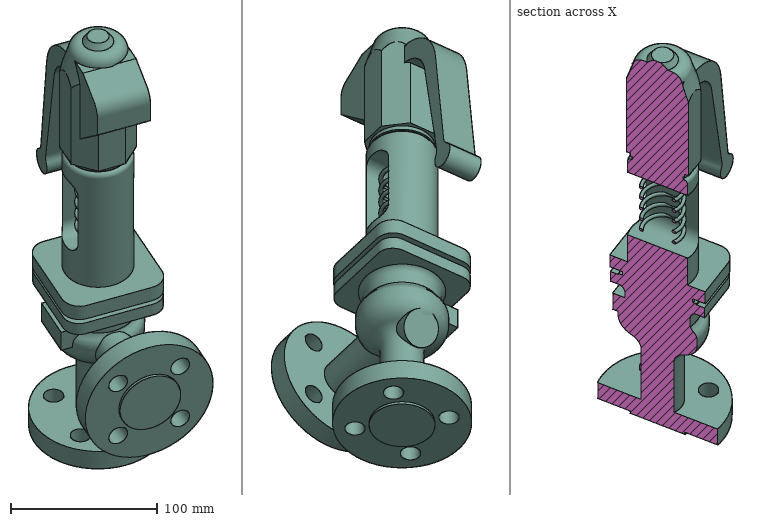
import cadquery as cq
import math


flange_radius = 47.5
flange_thickness = 15.5
raised_face_radius = 22.5
raised_face_height = 2.0
bolt_circle_radius = 32.5
bolt_hole_radius = 7.0
bolt_count = 4
outlet_height = 90.2
outlet_reach = 90.2
inlet_pipe_radius = 15.0
outlet_pipe_radius = 14.2

bowl_radius = 32.0
bowl_belt_bottom = 90.0
bowl_belt_top = 95.0
bowl_round_radius = 15.0
flare_bottom = 66.0
flare_radius = 10.5
shoulder_bottom = 101.3
shoulder_top = 105.5
neck_radius = 26.7
neck_top = 113.8
neck_flare_radius = 30.0

lower_plate_bottom = 119.0
lower_plate_top = 128.7
lower_plate_width = 73.5
lower_plate_corner = 11.8
upper_plate_bottom = 132.5
upper_plate_top = 144.5
upper_plate_width = 74.5
upper_plate_corner = 13.2
joint_rim_radius = 31.2
joint_rim_top = 129.8
joint_radius = 28.5

sign_left = -16.3
sign_right = 17.7
sign_bottom = 93.0
sign_top = 109.0
sign_face = -35.0

drain_radius = 13.5
drain_tilt = 30
drain_face_x = -23.0
drain_face_z = 71.0
drain_length = 20.8

housing_radius = 24.5
housing_top = 244.0
housing_round = 3.5
window_width = 27.0
window_bottom = 169.7
window_top = 230.0
window_corner = 9.5
coil_radius = 14.5
wire_radius = 1.5
first_coil_height = 179.7
coil_pitch = 10.0
coil_count = 5

groove_radius = housing_radius - housing_round
groove_top = 245.7
collar_radius = 22.5

cap_bottom = 248.8
cap_sides = 8
cap_across_flats = 48.5
cone_bottom = 316.0
cone_top = 335.5
cone_top_radius = 20.5
dome_top = 342.5
dome_mid_radius = 18.0
dome_mid_height = 340.5
button_base_radius = 10.8
button_radius = 7.5
overall_height = 347.0

bracket_width = 39.5
bracket_slope_start = 19.8
bracket_slope_angle = 29
bracket_reach = 44.8
bracket_corner = 12.0
bracket_nose_bottom = 299.5
bracket_heel_x = 15.0
bracket_heel_z = 273.5

lever_width = 26.0
lever_root_x = -17.5
lever_root_top = 318.2
lever_root_bottom = 303.3
lever_knob_x = -67.0
lever_knob_z = 189.0
lever_knob_radius = 9.0
lever_knob_blend = 8.5
lever_outer_bend = (-47.0, 307.0)
lever_outer_bend_end = (-58.5, 283.5)
lever_outer_end_x = -70.0
lever_inner_bend = (-37.0, 296.0)
lever_inner_bend_end = (-45.0, 283.5)
lever_inner_end_x = -61.8


def disc(radius, bottom, top):
    """Solid cylinder on the Z axis between two heights."""
    return cq.Workplane("XY").workplane(offset=bottom).circle(radius).extrude(top - bottom)


def square_plate(width, corner, bottom, top):
    """Square plate with rounded corners between two heights."""
    plate = cq.Workplane("XY").workplane(offset=bottom).rect(width, width).extrude(top - bottom)
    return plate.edges("|Z").fillet(corner)


def flanged_pipe(pipe_radius, length):
    """Pipe along Z from a bolted flange with its raised face at zero height."""
    flange_top = raised_face_height + flange_thickness
    flange = disc(flange_radius, raised_face_height, flange_top)
    holes = (
        cq.Workplane("XY")
        .polarArray(bolt_circle_radius, 180 / bolt_count, 360, bolt_count)
        .circle(bolt_hole_radius)
        .extrude(flange_top)
    )
    raised_face = disc(raised_face_radius, 0, flange_top)
    return flange.cut(holes).union(raised_face).union(disc(pipe_radius, 0, length))


def valve_body():
    """Turned bowl flaring down to the inlet pipe and narrowing up to the neck."""
    round_center_x = bowl_radius - bowl_round_radius
    flare_center_x = inlet_pipe_radius + flare_radius
    rise = bowl_belt_bottom - flare_bottom
    meeting_angle = math.atan2(rise, round_center_x - flare_center_x)
    flare_mid_angle = (math.pi + meeting_angle) / 2
    round_mid_angle = (meeting_angle - math.pi) / 2

    def flare_point(angle):
        return (flare_center_x + flare_radius * math.cos(angle), flare_bottom + flare_radius * math.sin(angle))

    round_mid = (
        round_center_x + bowl_round_radius * math.cos(round_mid_angle),
        bowl_belt_bottom + bowl_round_radius * math.sin(round_mid_angle),
    )
    shoulder_mid = ((bowl_radius + neck_radius) / 2, shoulder_bottom)
    profile = (
        cq.Workplane("XZ")
        .moveTo(0, flare_bottom)
        .lineTo(inlet_pipe_radius, flare_bottom)
        .threePointArc(flare_point(flare_mid_angle), flare_point(meeting_angle))
        .threePointArc(round_mid, (bowl_radius, bowl_belt_bottom))
        .lineTo(bowl_radius, bowl_belt_top)
        .tangentArcPoint(shoulder_mid, relative=False)
        .tangentArcPoint((neck_radius, shoulder_top), relative=False)
        .lineTo(neck_radius, neck_top)
        .tangentArcPoint((neck_flare_radius, lower_plate_bottom), relative=False)
        .lineTo(0, lower_plate_bottom)
        .close()
    )
    return profile.revolve(360, (0, 0, 0), (0, 1, 0))


def sign_block():
    """Flat sign block reaching from inside the body out to -Y."""
    width = sign_right - sign_left
    height = sign_top - sign_bottom
    block = cq.Workplane("XY").box(width, -sign_face, height, centered=False)
    return block.translate((sign_left, sign_face, sign_bottom))


def drain_boss():
    """Round boss rising into the body from its tilted face."""
    tilt = math.radians(drain_tilt)
    axis = cq.Vector(math.cos(tilt), 0, math.sin(tilt))
    face_center = cq.Vector(drain_face_x, 0, drain_face_z)
    return cq.Workplane(cq.Solid.makeCylinder(drain_radius, drain_length, face_center, axis))


def bonnet():
    """Two square plates with a round joint between them."""
    lower = square_plate(lower_plate_width, lower_plate_corner, lower_plate_bottom, lower_plate_top)
    upper = square_plate(upper_plate_width, upper_plate_corner, upper_plate_bottom, upper_plate_top)
    rim = disc(joint_rim_radius, lower_plate_bottom, joint_rim_top)
    joint = disc(joint_radius, lower_plate_bottom, upper_plate_top)
    return lower.union(rim).union(joint).union(upper)


def spring_housing():
    """Housing with a window through it along Y, crossed by the spring coils."""
    housing = (
        cq.Workplane("XZ")
        .moveTo(0, upper_plate_bottom)
        .lineTo(housing_radius, upper_plate_bottom)
        .lineTo(housing_radius, housing_top - housing_round)
        .tangentArcPoint((groove_radius, housing_top), relative=False)
        .lineTo(groove_radius, groove_top)
        .lineTo(collar_radius, groove_top)
        .lineTo(collar_radius, cap_bottom)
        .lineTo(0, cap_bottom)
        .close()
        .revolve(360, (0, 0, 0), (0, 1, 0))
    )
    window = (
        cq.Workplane("XZ")
        .center(0, (window_bottom + window_top) / 2)
        .rect(window_width, window_top - window_bottom)
        .extrude(housing_radius, both=True)
        .edges("|Y")
        .fillet(window_corner)
    )
    housing = housing.cut(window)
    for index in range(coil_count):
        height = first_coil_height + index * coil_pitch
        coil = cq.Solid.makeTorus(coil_radius, wire_radius, cq.Vector(0, 0, height), cq.Vector(0, 0, 1))
        housing = housing.union(cq.Workplane(coil))
    return housing


def cap():
    """Octagonal cap trimmed by a cone and closed by a dome with a button."""
    corner_radius = cap_across_flats / 2 / math.cos(math.pi / cap_sides)
    octagon = (
        cq.Workplane("XY")
        .workplane(offset=cap_bottom)
        .transformed(rotate=(0, 0, 180 / cap_sides))
        .polygon(cap_sides, 2 * corner_radius)
        .extrude(overall_height - cap_bottom)
    )
    envelope = (
        cq.Workplane("XZ")
        .moveTo(0, cap_bottom)
        .lineTo(corner_radius, cap_bottom)
        .lineTo(corner_radius, cone_bottom)
        .lineTo(cone_top_radius, cone_top)
        .threePointArc((dome_mid_radius, dome_mid_height), (button_base_radius, dome_top))
        .lineTo(button_radius, overall_height)
        .lineTo(0, overall_height)
        .close()
        .revolve(360, (0, 0, 0), (0, 1, 0))
    )
    return octagon.intersect(envelope)


def bracket():
    """Lever bracket with a sloping top and a rounded nose."""
    slope_drop = (bracket_reach - bracket_slope_start) * math.tan(math.radians(bracket_slope_angle))
    nose_top = cone_top - slope_drop
    plate = (
        cq.Workplane("XZ")
        .moveTo(0, cone_top)
        .lineTo(bracket_slope_start, cone_top)
        .lineTo(bracket_reach, nose_top)
        .lineTo(bracket_reach, bracket_nose_bottom)
        .lineTo(bracket_heel_x, bracket_heel_z)
        .lineTo(0, bracket_heel_z)
        .close()
        .extrude(bracket_width / 2, both=True)
    )
    nose_edge = cq.selectors.NearestToPointSelector((bracket_reach, 0, nose_top))
    return plate.edges(nose_edge).fillet(bracket_corner)


def lever():
    """Curved tapering lever ending in a round knob."""
    arm = (
        cq.Workplane("XZ")
        .moveTo(lever_root_x, lever_root_top)
        .threePointArc(lever_outer_bend, lever_outer_bend_end)
        .lineTo(lever_outer_end_x, lever_knob_z)
        .lineTo(lever_inner_end_x, lever_knob_z)
        .lineTo(*lever_inner_bend_end)
        .threePointArc(lever_inner_bend, (lever_root_x, lever_root_bottom))
        .close()
        .extrude(lever_width / 2, both=True)
    )
    knob = (
        cq.Workplane("XZ")
        .center(lever_knob_x, lever_knob_z)
        .circle(lever_knob_radius)
        .extrude(lever_width / 2, both=True)
    )
    handle = arm.union(knob)
    knob_corners = cq.selectors.BoxSelector(
        (lever_knob_x - lever_knob_radius, -lever_width, lever_knob_z + lever_knob_radius / 2),
        (lever_knob_x + lever_knob_radius, lever_width, lever_knob_z + lever_knob_radius),
        boundingbox=False,
    )
    return handle.edges("|Y").edges(knob_corners).fillet(lever_knob_blend)


inlet = flanged_pipe(inlet_pipe_radius, bowl_belt_bottom)
outlet = (
    flanged_pipe(outlet_pipe_radius, outlet_reach)
    .rotate((0, 0, 0), (0, 1, 0), -90)
    .translate((outlet_reach, 0, outlet_height))
)

result = inlet
for piece in (
    valve_body(),
    outlet,
    sign_block(),
    drain_boss(),
    bonnet(),
    spring_housing(),
    cap(),
    bracket(),
    lever(),
):
    result = result.union(piece)